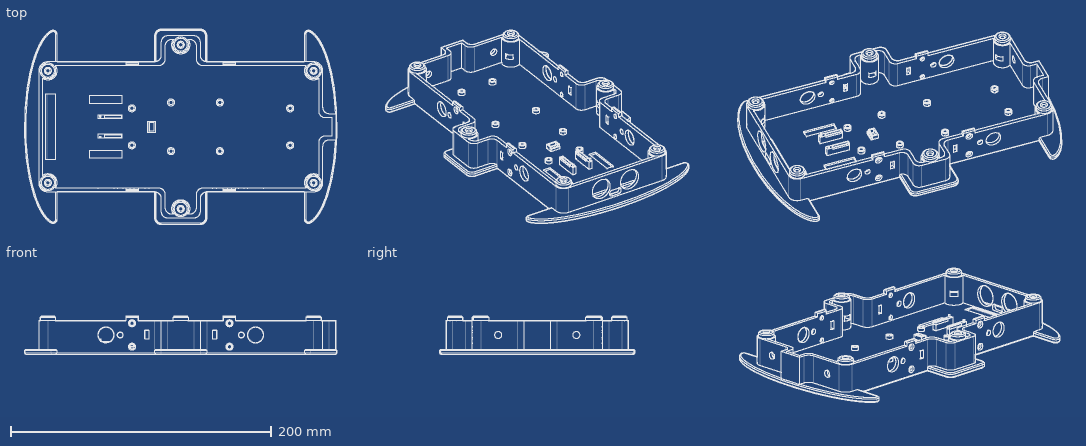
import cadquery as cq
import math

wall = 3.0
base_thickness = 4.0
floor_top = 3.5
wall_top = 26.0
boss_top = 29.5
base_chamfer = 1.0

body_half_x = 109.0
body_half_y = 50.0
corner_radius = 7.0
bend_radius = 5.0

bay_half_x = 15.0
bay_half_y = 70.0
nose_half_y = 10.0
nose_x = 119.0

flange_half_x = 20.0
flange_half_y = 75.0
bumper_center_x = 95.0
bumper_depth = 25.0
bumper_half_y = 75.0
bumper_tip_radius = 3.0

post_diameter = 2 * corner_radius
post_points = [
    (sx * (body_half_x - corner_radius), sy * (body_half_y - corner_radius))
    for sx in (-1, 1)
    for sy in (-1, 1)
] + [(0, sy * (bay_half_y - corner_radius)) for sy in (-1, 1)]
lip_diameter = 12.0
lip_chamfer = 1.0
screw_diameter = 3.4
screw_sink_diameter = 5.4
nut_slot_width = 6.0
nut_slot_height = 4.0
nut_slot_bottom = 10.5

hole_z = 15.0
shaft_hole_x = 57.4
shaft_hole_diameter = 12.0
pin_hole_x = 46.5
pin_hole_diameter = 4.2
motor_screw_x = 37.4
motor_screw_pitch = 18.0
motor_screw_diameter = 3.4
motor_screw_sink_diameter = 5.4
strap_slot_x = 26.0
strap_slot_width = 3.0
strap_slot_height = 6.5
strap_slot_bottom = 12.0

tab_length = 9.6
tab_chamfer = 1.0

sensor_hole_y = 13.0
sensor_hole_diameter = 16.5
usb_width = 10.5
usb_height = 5.0
usb_z = 8.0
usb_radius = 2.0
rear_hole_y = 30.0
rear_hole_diameter = 5.4

standoff_diameter = 5.4
standoff_bore = 3.4
standoff_top = 6.0
standoff_points = [
    (x, sy * y)
    for x, y in ((-37.5, 14.2), (-7.5, 18.7), (30.0, 18.7), (84.0, 14.2))
    for sy in (-1, 1)
]
pocket_depth = 1.5
pocket_x = (-70.0, -45.0)
pocket_y = 21.0
pocket_width = 6.0
ramp_x = (-104.0, -102.5, -96.0)
ramp_half_y = 25.0
ramp_depth = (0.6, 1.8)

blade_x = (-63.5, -45.0)
blade_centers_y = (-7.2, 7.7)
blade_width = 3.0
blade_top = 10.0
groove_x = (-58.5, -45.5)
groove_width = 2.0
groove_depth = 2.0
blade_pin_x = -61.9
blade_pin_y = 7.9
blade_pin_diameter = 1.2
blade_pin_top = 11.8

holder_x = (-25.5, -24.4, -19.5)
holder_half_y = 4.2
holder_step_top = 5.5
holder_top = 7.0
holder_front_wall = 0.6
holder_wall = 1.0


def box(x0, x1, y0, y1, z0, z1):
    """Axis-aligned box between the given limits."""
    size = (x1 - x0, y1 - y0, z1 - z0)
    return cq.Workplane("XY").box(*size, centered=False).translate((x0, y0, z0))


def cylinder(diameter, z0, z1, points):
    """Upright cylinders of one diameter at several points."""
    sketch = cq.Workplane("XY").workplane(offset=z0).pushPoints(points)
    return sketch.circle(diameter / 2).extrude(z1 - z0)


def countersink(rim_diameter, bore_diameter, rim_center, direction):
    """45 degree cone narrowing from the rim to the bore along direction."""
    rim = rim_diameter / 2
    bore = bore_diameter / 2
    cone = cq.Solid.makeCone(rim, bore, rim - bore, cq.Vector(*rim_center), cq.Vector(*direction))
    return cq.Workplane(cone)


def tray_block(inset, z0, z1):
    """Solid with the tray outline, moved inward by inset."""
    bx = body_half_x - inset
    by = body_half_y - inset
    bay_x = bay_half_x - inset
    bay_y = bay_half_y - inset
    nose_y = nose_half_y - inset
    block = box(-bx, bx, -by, by, z0, z1).edges("|Z").fillet(corner_radius - inset)
    bay = box(-bay_x, bay_x, -bay_y, bay_y, z0, z1).edges("|Z").fillet(bend_radius)
    nose = box(0, nose_x - inset, -nose_y, nose_y, z0, z1)
    block = block.union(bay).union(nose)
    concave = [(sx * bay_x, sy * by) for sx in (-1, 1) for sy in (-1, 1)]
    concave += [(bx, sy * nose_y) for sy in (-1, 1)]
    for corner in concave:
        edge = cq.selectors.NearestToPointSelector((*corner, (z0 + z1) / 2))
        block = block.edges("|Z").edges(edge).fillet(bend_radius)
    return block


def bumper(side):
    """Half-ellipse plate with rounded tips; side is -1 or +1."""
    plate = (
        cq.Workplane("XY")
        .ellipse(bumper_depth, bumper_half_y)
        .extrude(base_thickness)
        .intersect(box(-bumper_depth, 0, -bumper_half_y, bumper_half_y, 0, base_thickness))
        .edges("|Z")
        .fillet(bumper_tip_radius)
        .translate((-bumper_center_x, 0, 0))
    )
    return plate if side < 0 else plate.mirror("YZ")


def base_plate():
    """Bumpers, bay flanges and tray footprint with chamfered edges."""
    fx = flange_half_x
    fy = flange_half_y
    flange = box(-fx, fx, -fy, fy, 0, base_thickness).edges("|Z").fillet(bend_radius)
    bx = body_half_x
    by = body_half_y
    footprint = box(-bx, bx, -by, by, 0, base_thickness)
    footprint = footprint.edges("|Z").fillet(corner_radius)
    plate = footprint.union(flange).union(bumper(-1)).union(bumper(1))
    return plate.faces("<Z or >Z").chamfer(base_chamfer)


def posts():
    """Round posts with a chamfered lip that centres the cover."""
    lips = cylinder(lip_diameter, wall_top, boss_top, post_points)
    lips = lips.faces(">Z").chamfer(lip_chamfer)
    return cylinder(post_diameter, floor_top, wall_top, post_points).union(lips)


def post_cuts():
    """Screw bore from the top of each post down to a nut slot open to the tray."""
    slot_top = nut_slot_bottom + nut_slot_height
    cuts = cylinder(screw_diameter, nut_slot_bottom, boss_top, post_points)
    for x, y in post_points:
        sink = countersink(screw_sink_diameter, screw_diameter, (x, y, boss_top), (0, 0, -1))
        cuts = cuts.union(sink)
    half = nut_slot_width / 2
    for x, y in post_points:
        toward_x = (x < 0) - (x > 0)
        toward_y = (y < 0) - (y > 0)
        angle = math.degrees(math.atan2(toward_y, toward_x))
        slot = box(-half, post_diameter / 2, -half, half, nut_slot_bottom, slot_top)
        cuts = cuts.union(slot.rotate((0, 0, 0), (0, 0, 1), angle).translate((x, y, 0)))
    return cuts


def tabs():
    """Raised tab over each upper motor screw, chamfered along both long edges."""
    outer = body_half_y
    solid = cq.Workplane("XY")
    for sx in (-1, 1):
        for sy in (-1, 1):
            x = sx * motor_screw_x
            y = sy * (outer - wall / 2)
            tab = box(
                x - tab_length / 2, x + tab_length / 2,
                y - wall / 2, y + wall / 2,
                wall_top - wall, boss_top,
            )
            solid = solid.add(tab.faces(">Z").edges("|X").chamfer(tab_chamfer))
    return solid.combine()


def side_wall_cuts():
    """Motor openings through one side wall, repeated on all four wall stretches."""
    y = body_half_y

    def bore(x, z, diameter):
        face = cq.Workplane("XZ", origin=(x, -y, z))
        return face.circle(diameter / 2).extrude(-wall)

    quarter = bore(shaft_hole_x, hole_z, shaft_hole_diameter)
    quarter = quarter.union(bore(pin_hole_x, hole_z, pin_hole_diameter))
    for sign in (-1, 1):
        z = hole_z + sign * motor_screw_pitch / 2
        quarter = quarter.union(bore(motor_screw_x, z, motor_screw_diameter))
        rim = (motor_screw_x, -y, z)
        sink = countersink(motor_screw_sink_diameter, motor_screw_diameter, rim, (0, 1, 0))
        quarter = quarter.union(sink)
    half_w = strap_slot_width / 2
    slot = box(
        strap_slot_x - half_w, strap_slot_x + half_w,
        -y, -y + wall,
        strap_slot_bottom, strap_slot_bottom + strap_slot_height,
    )
    quarter = quarter.union(slot)
    pair = quarter.union(quarter.mirror("YZ"))
    return pair.union(pair.mirror("XZ"))


def end_wall_cuts():
    """Sensor eyes and USB opening in the front wall, two holes in the rear wall."""
    front = cq.Workplane("YZ", origin=(-body_half_x, 0, 0))
    cuts = front.pushPoints([(-sensor_hole_y, hole_z), (sensor_hole_y, hole_z)])
    cuts = cuts.circle(sensor_hole_diameter / 2).extrude(wall)
    usb = front.center(0, usb_z).rect(usb_width, usb_height).extrude(wall)
    cuts = cuts.union(usb.edges("|X").fillet(usb_radius))
    rear = cq.Workplane("YZ", origin=(body_half_x - wall, 0, 0))
    rear = rear.pushPoints([(-rear_hole_y, hole_z), (rear_hole_y, hole_z)])
    return cuts.union(rear.circle(rear_hole_diameter / 2).extrude(wall))


def standoffs():
    """Bored board standoffs."""
    outer = cylinder(standoff_diameter, floor_top, standoff_top, standoff_points)
    return outer.cut(cylinder(standoff_bore, floor_top, standoff_top, standoff_points))


def floor_pockets():
    """Two rectangular pockets and one pocket with a sloping bottom."""
    half = pocket_width / 2
    cuts = cq.Workplane("XY")
    for sy in (-1, 1):
        y = sy * pocket_y
        cuts = cuts.add(box(*pocket_x, y - half, y + half, floor_top - pocket_depth, floor_top))
    start, foot, end = ramp_x
    shallow, deep = ramp_depth
    ramp = (
        cq.Workplane("XZ", origin=(0, ramp_half_y, 0))
        .moveTo(start, floor_top)
        .lineTo(start, floor_top - shallow)
        .lineTo(foot, floor_top - shallow)
        .lineTo(end, floor_top - deep)
        .lineTo(end, floor_top)
        .close()
        .extrude(2 * ramp_half_y)
    )
    return cuts.add(ramp).combine()


def blades():
    """Two upright blades, each with a groove in the top and a locating pin ahead of it."""
    half = blade_width / 2
    groove_half = groove_width / 2
    groove_bottom = blade_top - groove_depth
    solid = cq.Workplane("XY")
    for y in blade_centers_y:
        blade = box(*blade_x, y - half, y + half, floor_top, blade_top)
        blade = blade.cut(box(*groove_x, y - groove_half, y + groove_half, groove_bottom, blade_top))
        pin_point = (blade_pin_x, math.copysign(blade_pin_y, y))
        pin = cylinder(blade_pin_diameter, groove_bottom, blade_pin_top, [pin_point])
        solid = solid.add(blade.union(pin))
    return solid.combine()


def holder():
    """Small open box with a lower step ahead of it."""
    step, front, back = holder_x
    y = holder_half_y
    inner_y = y - holder_wall
    solid = box(step, front, -y, y, floor_top, holder_step_top)
    solid = solid.union(box(front, back, -y, y, floor_top, holder_top))
    inner_x = (front + holder_front_wall, back - holder_wall)
    return solid.cut(box(*inner_x, -inner_y, inner_y, floor_top, holder_top))


result = base_plate().union(tray_block(0, base_chamfer, wall_top))
result = result.cut(tray_block(wall, floor_top, wall_top)).cut(floor_pockets())
for addition in (posts(), tabs(), standoffs(), blades(), holder()):
    result = result.union(addition)
for opening in (post_cuts(), side_wall_cuts(), end_wall_cuts()):
    result = result.cut(opening)